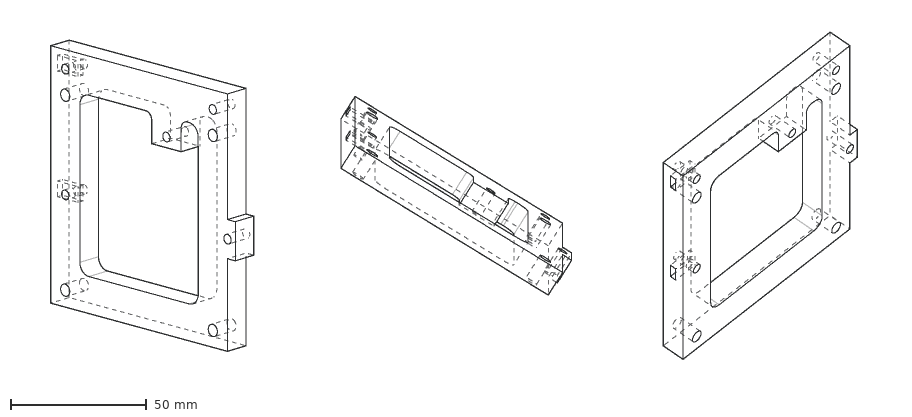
import cadquery as cq

frame_width = 90.0
height = 99.0
thickness = 10.0
full_width = 94.0

side_rail = 14.9
top_rail = 15.0
bottom_rail = 14.3
window_radius = 4.6
window_top = height - top_rail

tab_width = 15.0
inner_tab_center_x = 58.9
inner_tab_bottom = height - 27.1
inner_tab_root_radius = 3.0
selection_margin = 0.1
side_tab_overlap = 1.0

hole_inset = side_rail / 2
small_diameter = 3.7
large_diameter = 4.7
left_x = hole_inset
right_x = frame_width - hole_inset
top_hole_z = height - 7.5
middle_hole_z = height - 55.8
upper_large_z = height - 17.5
lower_large_z = 6.5
inner_tab_hole_z = inner_tab_bottom + 4.2

nut_width = 6.0
nut_thickness = 2.7
slot_depth = hole_inset + nut_width / 2


def block(x_min, x_max, z_min, z_max):
    """Full-thickness rectangular block between the given X and Z limits."""
    return cq.Workplane("XY").box(
        x_max - x_min, thickness, z_max - z_min, centered=False
    ).translate((x_min, 0, z_min))


def hole_cutters(diameter, points):
    """Cylinders running through the plate along Y at (x, z) points."""
    return cq.Workplane("XZ").pushPoints(points).circle(diameter / 2).extrude(-thickness)


def nut_slot(center_z):
    """Nut slot entering from the left edge at mid-thickness."""
    return cq.Workplane("XY").box(
        slot_depth, nut_thickness, nut_width, centered=(False, True, True)
    ).translate((0, thickness / 2, center_z))


window = block(side_rail, frame_width - side_rail, bottom_rail, window_top)
window = window.edges("|Y").fillet(window_radius)
frame = block(0, frame_width, 0, height).cut(window)

tab_left = inner_tab_center_x - tab_width / 2
tab_right = inner_tab_center_x + tab_width / 2
inner_tab = block(tab_left, tab_right, inner_tab_bottom, window_top)
frame = frame.union(inner_tab)
frame = frame.edges(
    cq.selectors.BoxSelector(
        (tab_left - selection_margin, -selection_margin, window_top - selection_margin),
        (tab_right + selection_margin, thickness + selection_margin, window_top + selection_margin),
    )
).edges("|Y").fillet(inner_tab_root_radius)

side_tab = block(
    frame_width - side_tab_overlap,
    full_width,
    middle_hole_z - tab_width / 2,
    middle_hole_z + tab_width / 2,
)
frame = frame.union(side_tab)

small_holes = [
    (left_x, top_hole_z),
    (right_x, top_hole_z),
    (left_x, middle_hole_z),
    (frame_width, middle_hole_z),
    (inner_tab_center_x, inner_tab_hole_z),
]
large_holes = [(x, z) for x in (left_x, right_x) for z in (upper_large_z, lower_large_z)]
frame = frame.cut(hole_cutters(small_diameter, small_holes))
frame = frame.cut(hole_cutters(large_diameter, large_holes))

for slot_z in (top_hole_z, middle_hole_z):
    frame = frame.cut(nut_slot(slot_z))

result = frame